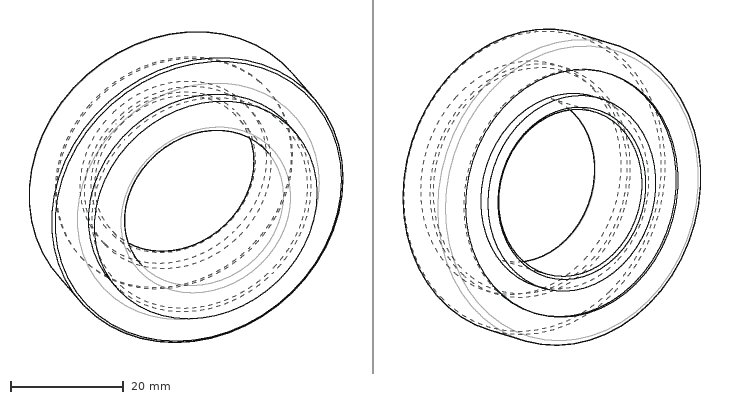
import cadquery as cq
import math

outer_radius = 27.5
total_width = 17.0
body_width = 13.1
bore_radius = 15.0

front_fillet = 1.0
back_chamfer = 0.5
bore_front_chamfer = 0.5
bore_back_fillet = 1.0

collar_radius = 21.0
back_cone_radius = 22.8
back_cone_end_radius = 20.35
back_cone_width = 0.75

recess_radius = 22.3
ring_radius = 17.6
recess_rim_depth = 0.6
recess_inner_depth = 2.35


def revolve_about_x(profile):
    """Revolve a closed profile drawn as (x, radius) through a full turn."""
    return profile.close().revolve(360, (0, 0, 0), (1, 0, 0))


def make_body():
    """Stepped outer shape with a rounded front rim and a chamfered back rim."""
    cone_end = body_width + back_cone_width
    body = revolve_about_x(
        cq.Workplane("XY")
        .moveTo(0, 0)
        .lineTo(0, outer_radius)
        .lineTo(body_width - back_chamfer, outer_radius)
        .lineTo(body_width, outer_radius - back_chamfer)
        .lineTo(body_width, back_cone_radius)
        .lineTo(cone_end, back_cone_end_radius)
        .lineTo(cone_end, collar_radius)
        .lineTo(total_width, collar_radius)
        .lineTo(total_width, 0)
    )
    return body.faces("<X").edges().fillet(front_fillet)


def make_bore():
    """Through bore with a chamfered front mouth and a rounded back mouth."""
    fillet_center_radius = bore_radius + bore_back_fillet
    fillet_start = total_width - bore_back_fillet
    diagonal = bore_back_fillet * math.sqrt(0.5)
    fillet_middle = (fillet_start + diagonal, fillet_center_radius - diagonal)
    return revolve_about_x(
        cq.Workplane("XY")
        .moveTo(0, 0)
        .lineTo(0, bore_radius + bore_front_chamfer)
        .lineTo(bore_front_chamfer, bore_radius)
        .lineTo(fillet_start, bore_radius)
        .threePointArc(fillet_middle, (total_width, fillet_center_radius))
        .lineTo(total_width, 0)
    )


def make_recess():
    """Annular groove whose conical floor deepens towards the inner ring."""
    return revolve_about_x(
        cq.Workplane("XY")
        .moveTo(0, ring_radius)
        .lineTo(0, recess_radius)
        .lineTo(recess_rim_depth, recess_radius)
        .lineTo(recess_inner_depth, ring_radius)
    )


result = make_body().cut(make_bore()).cut(make_recess())